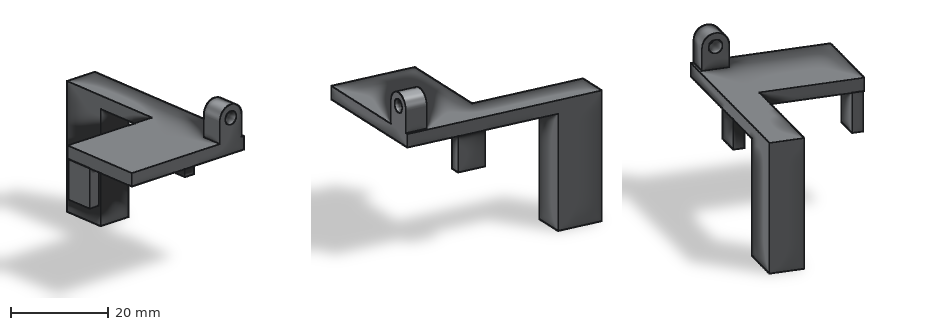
import cadquery as cq

overall_length = 46.5
overall_width = 30.63
deck_height = 29.0
deck_thickness = 3.0

arm_width = 7.63
leg_length = 10.5

plate_length = 20.0

tab_length = 6.5
tab_thickness = 2.5
tab_drop = 9.0
tab_side_inset = 0.2
tab_front_inset = 0.13
tab_spacing = 26.0
tab_count = 2

lug_length = 5.0
lug_radius = 3.0
lug_axis_rise = 5.0
lug_rear_inset = 0.63
lug_hole_diameter = 3.0

deck_bottom = deck_height - deck_thickness
arm_front = overall_width - arm_width
plate_start = overall_length - plate_length
lug_start = overall_length - lug_length
lug_center_y = overall_width - lug_rear_inset - lug_radius
lug_axis_z = deck_height + lug_axis_rise


def box_at(x, y, z, length, width, height):
    """Box with its minimum corner at (x, y, z)."""
    return cq.Workplane("XY").box(length, width, height, centered=False).translate((x, y, z))


def make_leg():
    return box_at(0, arm_front, 0, leg_length, arm_width, deck_height)


def make_arm():
    return box_at(0, arm_front, deck_bottom, overall_length, arm_width, deck_thickness)


def make_plate():
    return box_at(plate_start, 0, deck_bottom, plate_length, overall_width, deck_thickness)


def make_tab(front_y):
    tab_height = tab_drop + deck_thickness
    return box_at(
        plate_start + tab_side_inset, front_y, deck_bottom - tab_drop,
        tab_length, tab_thickness, tab_height,
    )


def make_lug():
    """Upright with a rounded top and a pin hole along X."""
    upright = (
        cq.Workplane("YZ", origin=(lug_start, lug_center_y, 0))
        .moveTo(-lug_radius, deck_bottom)
        .lineTo(lug_radius, deck_bottom)
        .lineTo(lug_radius, lug_axis_z)
        .threePointArc((0, lug_axis_z + lug_radius), (-lug_radius, lug_axis_z))
        .close()
        .extrude(lug_length)
    )
    pin_hole = (
        cq.Workplane("YZ", origin=(lug_start, lug_center_y, lug_axis_z))
        .circle(lug_hole_diameter / 2)
        .extrude(lug_length)
    )
    return upright.cut(pin_hole)


body = make_leg().union(make_arm()).union(make_plate())
for tab_index in range(tab_count):
    body = body.union(make_tab(tab_front_inset + tab_index * tab_spacing))

result = body.union(make_lug()).clean()